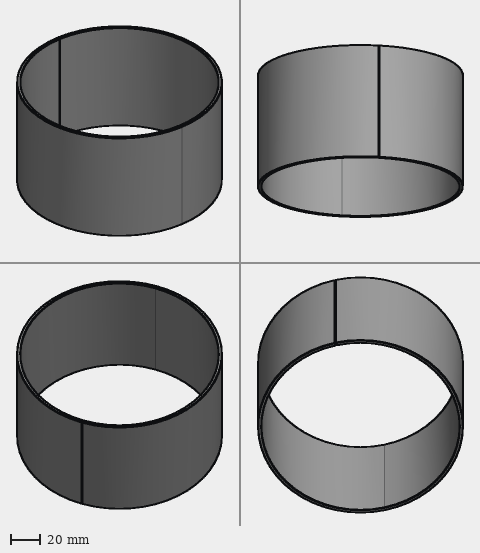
import cadquery as cq

outer_diameter = 140.0
wall = 2.5
length = 80.0
gap_width = 1.0
edge_chamfer = 0.4

outer_radius = outer_diameter / 2
inner_radius = outer_radius - wall

sleeve = (
    cq.Workplane("XY")
    .circle(outer_radius)
    .circle(inner_radius)
    .extrude(length)
    .faces("<Z or >Z")
    .edges()
    .chamfer(edge_chamfer)
)

gap = (
    cq.Workplane("XY")
    .center(-outer_radius, gap_width / 2)
    .rect(4 * wall, gap_width)
    .extrude(length)
)

result = sleeve.cut(gap)